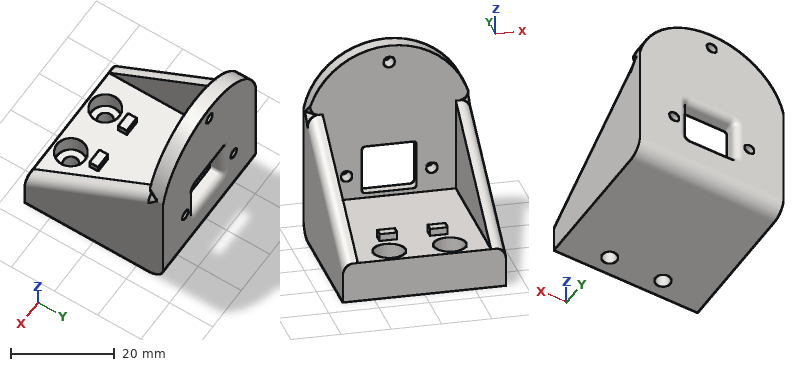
import cadquery as cq
import math

width = 32.5
depth = 32.1
height = 40.0

floor_height = 8.1
plate_thickness = 3.45
wall_thickness = 3.0
wall_top = 26.8
wall_edge_radius = 2.05
heel_radius = 3.4

pin_hole_diameter = 2.2
top_hole_height = 36.5
side_hole_spacing = 16.95
side_hole_height = 13.05
window_width = 10.9
window_bottom = 9.1
window_top = 19.0
window_corner_radius = 0.7
window_rear_radius = 1.5

mount_spacing = 12.05
mount_setback = 3.95
bore_diameter = 3.25
counterbore_diameter = 6.5
counterbore_depth = 4.1

tab_width = 3.5
tab_length = 2.0
tab_height = 1.45
tab_spacing = 10.05
tab_setback = 8.75

half_width = width / 2
plate_front = depth - plate_thickness
relief_arch_inset = 0.5
relief_wall_inset = 0.05
relief_tip_scale = 0.01
overlap = 0.4


def make_plate():
    """Upright back plate with an arched top."""
    return (
        cq.Workplane("XZ", origin=(0, depth, 0))
        .moveTo(-half_width, 0)
        .lineTo(half_width, 0)
        .lineTo(half_width, wall_top)
        .threePointArc((0, height), (-half_width, wall_top))
        .close()
        .extrude(plate_thickness)
    )


def make_sloped_block():
    """Full-width wedge that supplies the base and both side walls."""
    return (
        cq.Workplane("YZ", origin=(-half_width, 0, 0))
        .polyline([(0, 0), (plate_front, 0), (plate_front, wall_top), (0, floor_height)])
        .close()
        .extrude(width)
    )


def round_edges(body):
    """Round the sloping outer wall edges and the lower rear edge."""
    slope_middle = (plate_front / 2, (floor_height + wall_top) / 2)
    for side in (-half_width, half_width):
        edge = cq.selectors.NearestToPointSelector((side, *slope_middle))
        body = body.edges(edge).fillet(wall_edge_radius)
    return body.edges("|X and >Y and <Z").fillet(heel_radius)


def make_corner_relief():
    """Tapered notch that runs the right wall's rounding out into the plate.

    Its mouth lies on the plate's front face, bounded by quarter ellipses
    that continue the wall rounding below and meet the arch above. It narrows to a small tip on the
    outer side, one edge radius behind that face.
    """
    radius = wall_edge_radius
    slope = math.atan2(wall_top - floor_height, plate_front)
    drop = radius / math.cos(slope)

    def section(y, scale, rise, arch_inset, arc_angles, sense):
        curve_end = wall_top + scale * rise
        return (
            cq.Workplane("XZ", origin=(0, y, 0))
            .moveTo(half_width - scale * arch_inset, curve_end)
            .lineTo(half_width, curve_end)
            .lineTo(half_width, wall_top)
            .lineTo(half_width - scale * radius, wall_top)
            .ellipseArc(
                scale * (radius - arch_inset), scale * abs(rise), *arc_angles, sense=sense
            )
            .close()
            .val()
        )

    upper = (radius, relief_arch_inset, (270, 360), 1)
    lower = (-drop, relief_wall_inset, (0, 90), -1)
    halves = []
    for shape in (upper, lower):
        mouth = section(plate_front, 1, *shape)
        tip = section(plate_front + radius, relief_tip_scale, *shape)
        halves.append(cq.Workplane(cq.Solid.makeLoft([mouth, tip], True)))
    return halves


def make_cavity():
    """Space between the side walls, above the floor."""
    return (
        cq.Workplane("XY", origin=(0, plate_front / 2, floor_height))
        .rect(width - 2 * wall_thickness, plate_front)
        .extrude(height)
    )


def cut_pin_holes(body):
    """Three pin holes through the back plate."""
    side_x = side_hole_spacing / 2
    centres = [(0, top_hole_height), (-side_x, side_hole_height), (side_x, side_hole_height)]
    holes = (
        cq.Workplane("XZ", origin=(0, depth + overlap, 0))
        .pushPoints(centres)
        .circle(pin_hole_diameter / 2)
        .extrude(plate_thickness + 2 * overlap)
    )
    return body.cut(holes)


def cut_window(body):
    """Window through the back plate, with its rear rim rounded over."""
    middle_height = (window_bottom + window_top) / 2
    window = (
        cq.Workplane("XZ", origin=(0, depth, 0))
        .center(0, middle_height)
        .rect(window_width, window_top - window_bottom)
        .extrude(plate_thickness)
        .edges("|Y")
        .fillet(window_corner_radius)
    )
    rim_zone = cq.selectors.BoxSelector(
        (-window_width, depth - overlap, window_bottom - overlap),
        (window_width, depth + overlap, window_top + overlap),
    )
    return body.cut(window).edges(rim_zone).fillet(window_rear_radius)


def make_mounting_holes():
    """Pair of counterbored holes through the base."""
    centres = [(side * mount_spacing / 2, mount_setback) for side in (-1, 1)]
    bores = (
        cq.Workplane("XY", origin=(0, 0, -overlap))
        .pushPoints(centres)
        .circle(bore_diameter / 2)
        .extrude(floor_height + overlap)
    )
    counterbores = (
        cq.Workplane("XY", origin=(0, 0, floor_height - counterbore_depth))
        .pushPoints(centres)
        .circle(counterbore_diameter / 2)
        .extrude(counterbore_depth + overlap)
    )
    return bores.union(counterbores)


def make_tabs():
    """Pair of rectangular tabs standing on the floor."""
    return (
        cq.Workplane("XY", origin=(0, tab_setback + tab_length / 2, floor_height))
        .pushPoints([(-tab_spacing / 2, 0), (tab_spacing / 2, 0)])
        .rect(tab_width, tab_length)
        .extrude(tab_height)
    )


body = round_edges(make_sloped_block().union(make_plate()))
for relief in make_corner_relief():
    body = body.cut(relief).cut(relief.mirror("YZ"))
body = body.cut(make_cavity())
body = cut_window(body)
body = cut_pin_holes(body)
result = body.cut(make_mounting_holes()).union(make_tabs())